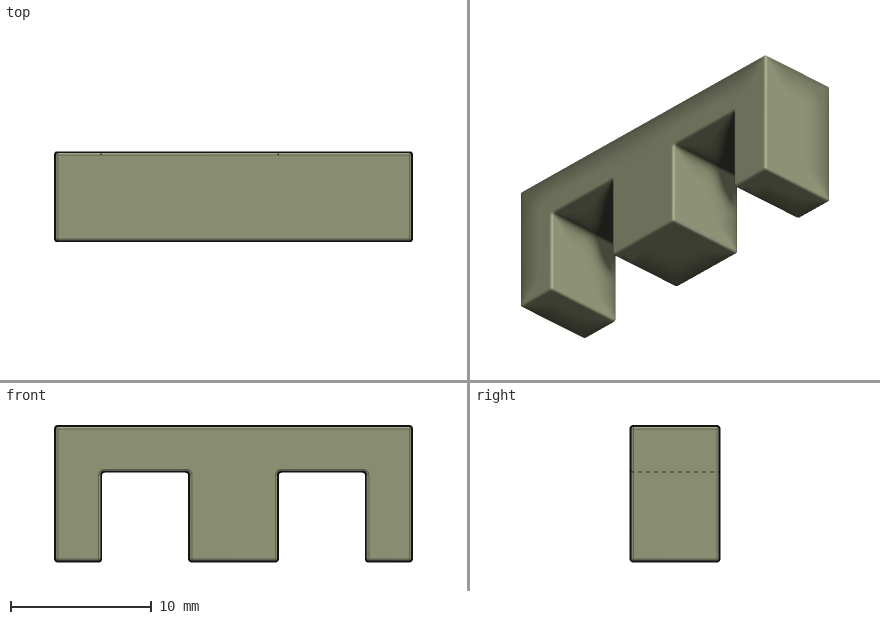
import cadquery as cq

length = 25.4
depth = 6.35
height = 9.65

center_leg_width = 6.35
outer_leg_width = 3.3
back_thickness = 3.28
edge_radius = 0.2

window_width = (length - center_leg_width) / 2 - outer_leg_width
window_height = height - back_thickness
window_offset = (center_leg_width + window_width) / 2


def window(x_center):
    """Cutter for one winding window, running through the full depth."""
    return (
        cq.Workplane("XY")
        .box(window_width, depth, window_height, centered=(True, True, False))
        .translate((x_center, 0, 0))
    )


core = cq.Workplane("XY").box(length, depth, height, centered=(True, True, False))
for side in (-1, 1):
    core = core.cut(window(side * window_offset))

result = core.edges().fillet(edge_radius)